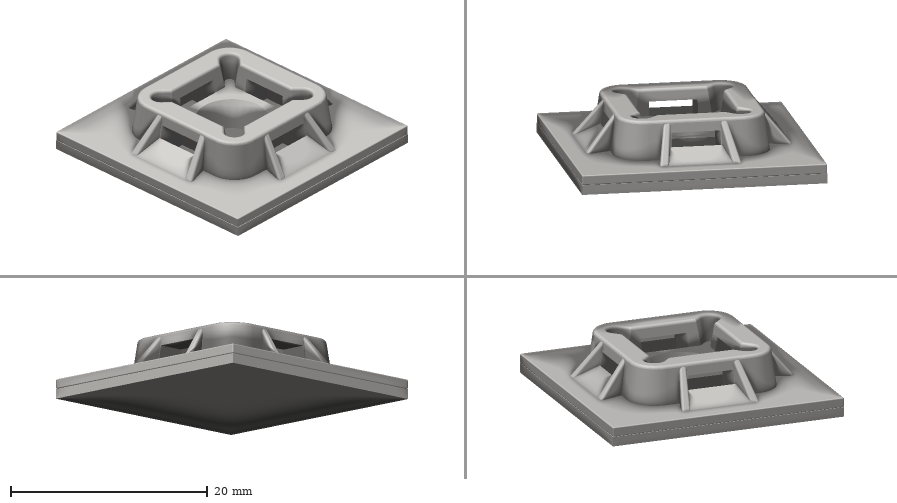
import cadquery as cq
import math

plate_side = 25.4
total_height = 6.05
tape_thickness = 1.016
plate_top = 2 * tape_thickness
plate_edge_round = 0.12

mould_draft = 7.0
frame_half_base = 8.095
frame_corner_radius = 2.96
rim_round = 0.35
frame_height = total_height - plate_top
frame_half_top = frame_half_base - frame_height * math.tan(math.radians(mould_draft))

pad_top = 3.302
recess_half_floor = 4.70
recess_depth = total_height - pad_top
slot_half_width_floor = 0.52
slot_end_offset = 5.10
slot_draft = 11.0

screw_diameter = 3.68
countersink_diameter = 7.45

passage_draft = 2.0
passage_half_width = 2.65
passage_inner = 4.59
passage_outer = 8.03
passage_top = 4.78

ramp_end = 10.66
ramp_start = 7.95
rib_start = 7.62
rib_top = 5.75
rib_round = 0.25
rib_root = 7.0
rib_overlap = 0.2
rib_outer_at_end = 4.32
rib_outer_at_root = 3.2
rib_inner_at_end = 3.34
rib_inner_at_root = 2.45

side_angles = (0, 90, 180, 270)


def make_tape():
    """Square adhesive pad under the mount."""
    return cq.Workplane("XY").box(plate_side, plate_side, tape_thickness, centered=(True, True, False))


def make_plate():
    """Square base plate with every edge slightly rounded."""
    return (
        cq.Workplane("XY", origin=(0, 0, tape_thickness))
        .box(plate_side, plate_side, plate_top - tape_thickness, centered=(True, True, False))
        .edges()
        .fillet(plate_edge_round)
    )


def rounded_square(half_side, radius, height):
    """Square outline with rounded corners at the given height."""
    return (
        cq.Sketch()
        .rect(2 * half_side, 2 * half_side)
        .vertices()
        .fillet(radius)
        .moved(cq.Location(cq.Vector(0, 0, height)))
    )


def make_frame_block():
    """Drafted square block with rounded corners."""
    corner_scale = frame_half_top / frame_half_base
    return cq.Workplane("XY").placeSketch(
        rounded_square(frame_half_base, frame_corner_radius, plate_top),
        rounded_square(frame_half_top, frame_corner_radius * corner_scale, total_height),
    ).loft(ruled=True)


def make_recess():
    """Drafted square recess with a slot running into each corner."""
    floor_plane = cq.Workplane("XY", origin=(0, 0, pad_top))
    recess = floor_plane.rect(2 * recess_half_floor, 2 * recess_half_floor).extrude(
        recess_depth, taper=-mould_draft
    )
    slot_length = 2 * (math.sqrt(2) * slot_end_offset + slot_half_width_floor)
    for angle in (45, 135):
        slot = floor_plane.slot2D(slot_length, 2 * slot_half_width_floor, angle).extrude(
            recess_depth, taper=-slot_draft
        )
        recess = recess.union(slot)
    return recess


def make_side_prism(profile, plan):
    """Solid with the given (y, z) side profile and (x, y) plan outline."""
    prism = cq.Workplane("YZ").polyline(profile).close().extrude(plate_side / 2, both=True)
    return prism.intersect(cq.Workplane("XY").polyline(plan).close().extrude(total_height))


def make_side_profile(slope_start, slope_top):
    """Side profile that slopes from slope_top down to the plate and is rooted in the plate and frame."""
    buried = (tape_thickness + plate_top) / 2
    return [
        (rib_root, buried),
        (ramp_end, buried),
        (ramp_end, plate_top),
        (slope_start, slope_top),
        (rib_root, slope_top),
    ]


def make_rib():
    """Rib beside the +Y ramp, on its +X edge, with rounded upper edges."""
    plan = [
        (rib_inner_at_root, rib_root),
        (rib_outer_at_root, rib_root),
        (rib_outer_at_end, ramp_end),
        (rib_inner_at_end, ramp_end),
    ]
    rib = make_side_prism(make_side_profile(rib_start, rib_top), plan)
    slope_middle = (
        (rib_inner_at_root + rib_outer_at_end) / 2,
        (rib_start + ramp_end) / 2,
        (rib_top + plate_top) / 2,
    )
    sloping_face = rib.faces(cq.selectors.NearestToPointSelector(slope_middle))
    return sloping_face.edges("not |X").fillet(rib_round)


def make_ramp():
    """Ramp rising from the plate to the strap passage on the +Y side."""
    plan = [
        (-rib_inner_at_root - rib_overlap, rib_root),
        (rib_inner_at_root + rib_overlap, rib_root),
        (rib_inner_at_end + rib_overlap, ramp_end),
        (-rib_inner_at_end - rib_overlap, ramp_end),
    ]
    return make_side_prism(make_side_profile(ramp_start, pad_top), plan)


def make_passage():
    """Strap passage through the +Y wall, tapering upward from the underside of the plate."""
    return (
        cq.Workplane("XY", origin=(0, (passage_inner + passage_outer) / 2, tape_thickness))
        .rect(2 * passage_half_width, passage_outer - passage_inner)
        .extrude(passage_top - tape_thickness, taper=passage_draft)
    )


def make_screw_seat():
    """Conical seat through the central pad and the plate."""
    half_section = [
        (0, tape_thickness),
        (screw_diameter / 2, tape_thickness),
        (countersink_diameter / 2, pad_top),
        (0, pad_top),
    ]
    return cq.Workplane("XZ").polyline(half_section).close().revolve(360, (0, 0), (0, 1))


def make_mount():
    """Plate, frame, ramps and ribs in one piece."""
    frame = make_frame_block().cut(make_recess()).faces(">Z").edges().fillet(rim_round)
    mount = make_plate().union(frame)
    rib = make_rib()
    side_parts = [make_ramp(), rib, rib.mirror("YZ")]
    for angle in side_angles:
        for part in side_parts:
            mount = mount.union(part.rotate((0, 0, 0), (0, 0, 1), angle))
    passage = make_passage()
    for angle in side_angles:
        mount = mount.cut(passage.rotate((0, 0, 0), (0, 0, 1), angle))
    return mount.cut(make_screw_seat())


tape = make_tape()
mount = make_mount()
result = cq.Compound.makeCompound([tape.val(), mount.val()])